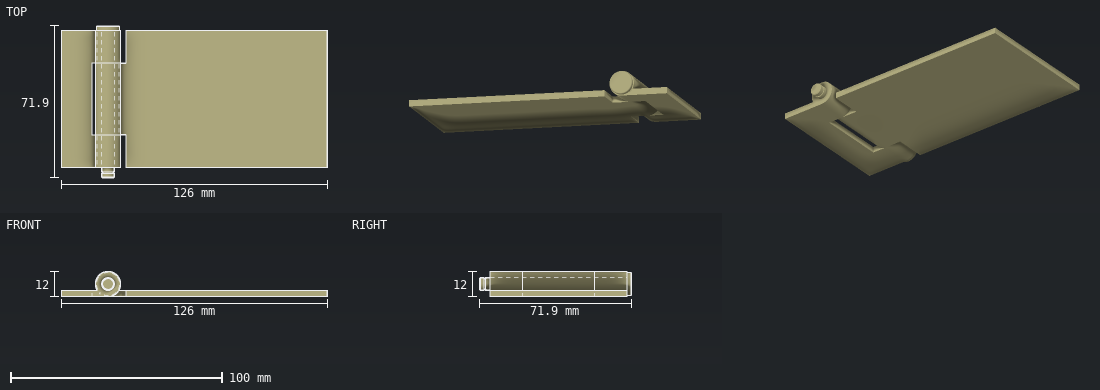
import cadquery as cq

total_length = 126.0
leaf_width = 65.0
leaf_thickness = 3.0
fixed_leaf_edge = 14.5
moving_leaf_edge = 30.5

barrel_diameter = 12.0
barrel_radius = barrel_diameter / 2
axis_x = 22.0
axis_z = barrel_radius
end_knuckle_length = 15.5
middle_knuckle_length = leaf_width - 2 * end_knuckle_length

pin_radius = 3.0
head_radius = 5.5
head_thickness = 2.0
head_fillet = 0.6
tail_length = 4.9
tail_chamfer = 0.4
groove_offset = 2.0
groove_width = 0.8
groove_depth = 0.5


def plate(x_start, x_end, y_start, length):
    """Flat piece of leaf between two X positions."""
    return cq.Workplane("XY").box(
        x_end - x_start, length, leaf_thickness, centered=False
    ).translate((x_start, y_start, 0))


def cylinder(radius, y_start, length):
    """Cylinder on the hinge axis, running from y_start toward +Y."""
    return (
        cq.Workplane("XZ", origin=(axis_x, y_start, axis_z))
        .circle(radius)
        .extrude(-length)
    )


def knuckle(plate_edge, y_start, length):
    """Barrel section joined to its leaf by a plate reaching the hinge axis."""
    x_start, x_end = sorted((plate_edge, axis_x))
    link = plate(x_start, x_end, y_start, length)
    return cylinder(barrel_radius, y_start, length).union(link)


def make_fixed_leaf():
    """Narrow leaf carrying the two end knuckles."""
    leaf = plate(0, fixed_leaf_edge, 0, leaf_width)
    for y_start in (0, leaf_width - end_knuckle_length):
        leaf = leaf.union(knuckle(fixed_leaf_edge, y_start, end_knuckle_length))
    return leaf.cut(cylinder(pin_radius, 0, leaf_width))


def make_moving_leaf():
    """Wide leaf carrying the middle knuckle."""
    leaf = plate(moving_leaf_edge, total_length, 0, leaf_width)
    leaf = leaf.union(knuckle(moving_leaf_edge, end_knuckle_length, middle_knuckle_length))
    return leaf.cut(cylinder(pin_radius, 0, leaf_width))


def make_pin():
    """Headed pin with a retaining groove near its chamfered end."""
    shank = cylinder(pin_radius, -tail_length, tail_length + leaf_width)
    shank = shank.faces("<Y").chamfer(tail_chamfer)
    groove_start = -groove_offset - groove_width
    groove = cylinder(pin_radius, groove_start, groove_width).cut(
        cylinder(pin_radius - groove_depth, groove_start, groove_width)
    )
    head = cylinder(head_radius, leaf_width, head_thickness)
    head = head.faces(">Y").edges().fillet(head_fillet)
    return shank.cut(groove).union(head)


fixed_leaf = make_fixed_leaf()
moving_leaf = make_moving_leaf()
pin = make_pin()

result = cq.Compound.makeCompound([fixed_leaf.val(), moving_leaf.val(), pin.val()])